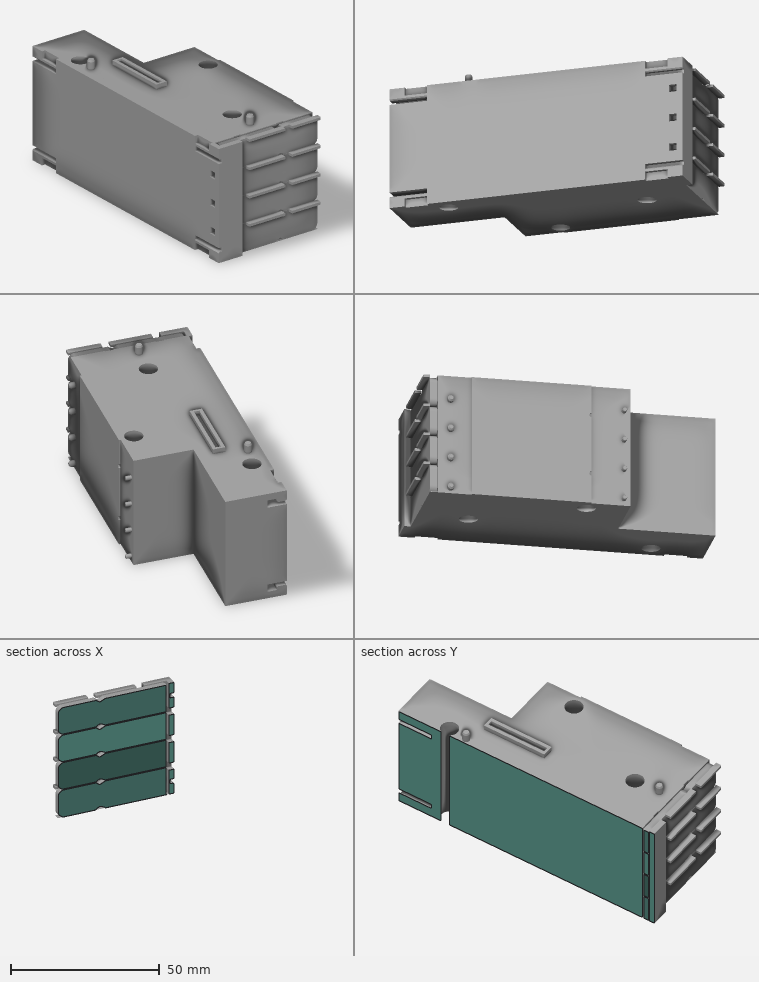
import cadquery as cq
length = 104.3
depth = 43.1
height = 42.1
step_length = 33.4
step_depth = 21.8
plate_start = 46.8
plate_end = 87.8
plate_thickness = 0.6
notch_diameter = 1.6

mounting_hole_diameter = 6.5
mounting_hole_centres = [(19.0, 5.9), (47.6, 38.2), (84.5, 20.5)]

top_pin_diameter = 2.6
top_pin_tip_diameter = 2.0
top_pin_length = 3.5
top_pin_tip_length = 0.6
top_pin_centres = [(26.5, 4.8), (94.4, 20.5)]
connector_start = (28.7, 12.1)
connector_length = 24.6
connector_width = 4.4
connector_height = 1.9
connector_slot_length = 22.7
connector_slot_width = 1.9
connector_slot_depth = connector_height

channel_count = 4
channel_pitch = height / channel_count

back_pin_length = 2.1
small_pin_x = 35.7
small_pin_rise = 2.4
small_pin_diameter = 1.6
small_pin_tip_diameter = 1.3
small_pin_tip_length = 0.3
large_pin_x = 95.1
large_pin_rise = 2.1
large_pin_diameter = 2.3
large_pin_tip_diameter = 1.3
large_pin_tip_length = 0.6

clip_length = 13.4
groove_bottom = 4.1
groove_top = 5.5
groove_lip_depth = 3.4
groove_depth = 6.9
shallow_groove_depth = 1.6
groove_undercut = 2.6
lip_chamfer = 0.4
pocket_length = 7.9
pocket_depth = 1.4
pocket_height = 2.8

bay_start = 99.4
bay_width = 2.7
bay_front = 2.0
bay_floor = 0.2
wall_start = bay_start + bay_width
wall_end = 10.0
window_height = 2.5
bay_notch_depth = 0.3
bay_notch_width = 2.9
bay_notch_fronts = [wall_end, 28.0]

cover_side_clearance = 0.2
cover_top_recess = 0.4
cover_gap = 0.2
cover_pitch = (height - cover_top_recess - bay_floor + cover_gap) / channel_count
cover_height = cover_pitch - cover_gap
cover_thickness = bay_width - cover_side_clearance
cover_front = 2.7
cover_front_fillet = 1.1
cover_corner_radius = 2.2
valley_start = 25.6
valley_floor_start = 26.9
valley_floor_end = 28.1
valley_end = 29.0
valley_depth = 0.6
valley_floor_sag = 0.2

tab_height = 0.9
tab_corner_chamfer = 0.3
tab_spans = [
    (wall_end + bay_notch_width, bay_notch_fronts[1]),
    (bay_notch_fronts[1] + bay_notch_width, depth),
]


def box(x, y, z, size_x, size_y, size_z):
    """Box from its lowest corner and its sizes."""
    return cq.Workplane("XY").box(size_x, size_y, size_z, centered=False).translate((x, y, z))


def tapered_pin(plane, diameter, full_length, tip_diameter, tip_length):
    """Pin growing along the plane's normal, its end tapered down to the tip diameter."""
    pin = cq.Workplane(plane).circle(diameter / 2).extrude(full_length)
    setback = (diameter - tip_diameter) / 2
    return pin.faces(cq.selectors.DirectionMinMaxSelector(plane.zDir, True)).chamfer(tip_length, setback)


def make_block():
    outline = [
        (0, 0),
        (length, 0),
        (length, depth),
        (step_length, depth),
        (step_length, step_depth),
        (0, step_depth),
    ]
    block = cq.Workplane("XY").polyline(outline).close().extrude(height)
    holes = (
        cq.Workplane("XY")
        .pushPoints(mounting_hole_centres)
        .circle(mounting_hole_diameter / 2)
        .extrude(height)
    )
    return block.cut(holes)


def make_plate():
    plate = box(plate_start, depth, 0, plate_end - plate_start, plate_thickness, height)
    notch_heights = [height / 4, 3 * height / 4]
    notches = (
        cq.Workplane("XZ", origin=(0, depth + plate_thickness, 0))
        .pushPoints([(plate_start, notch_height) for notch_height in notch_heights])
        .circle(notch_diameter / 2)
        .extrude(plate_thickness)
    )
    return plate.cut(notches)


def make_connector():
    x, y = connector_start
    connector = box(x, y, height, connector_length, connector_width, connector_height)
    return (
        connector.faces(">Z")
        .workplane(centerOption="CenterOfBoundBox")
        .rect(connector_slot_length, connector_slot_width)
        .cutBlind(-connector_slot_depth)
    )


def make_top_pin(x, y):
    plane = cq.Plane(origin=(x, y, height), xDir=(1, 0, 0), normal=(0, 0, 1))
    return tapered_pin(plane, top_pin_diameter, top_pin_length, top_pin_tip_diameter, top_pin_tip_length)


def make_back_pins(channel):
    channel_bottom = channel * channel_pitch
    small_plane = cq.Plane((small_pin_x, depth, channel_bottom + small_pin_rise), (1, 0, 0), (0, 1, 0))
    large_plane = cq.Plane((large_pin_x, depth, channel_bottom + large_pin_rise), (1, 0, 0), (0, 1, 0))
    small_pin = tapered_pin(
        small_plane, small_pin_diameter, back_pin_length, small_pin_tip_diameter, small_pin_tip_length
    )
    large_pin = tapered_pin(
        large_plane, large_pin_diameter, back_pin_length, large_pin_tip_diameter, large_pin_tip_length
    )
    return small_pin, large_pin


def make_deep_groove():
    """Undercut groove over a lip with both edges chamfered, at the lower corner by X = 0."""
    profile = [
        (0, groove_bottom - lip_chamfer),
        (lip_chamfer, groove_bottom),
        (groove_lip_depth - lip_chamfer, groove_bottom),
        (groove_lip_depth, groove_bottom - lip_chamfer),
        (groove_lip_depth, groove_undercut),
        (groove_depth, groove_undercut),
        (groove_depth, groove_top),
        (0, groove_top),
    ]
    return cq.Workplane("YZ").polyline(profile).close().extrude(clip_length)


def make_shallow_groove():
    """Plain groove over a chamfered lip, at the lower corner by the +X side."""
    profile = [
        (0, groove_bottom - lip_chamfer),
        (lip_chamfer, groove_bottom),
        (shallow_groove_depth, groove_bottom),
        (shallow_groove_depth, groove_top),
        (0, groove_top),
    ]
    start = length - clip_length
    return cq.Workplane("YZ", origin=(start, 0, 0)).polyline(profile).close().extrude(clip_length)


def make_clip_recesses():
    """The two lower corner recesses, each a groove with a pocket below it."""
    left_pocket = box(clip_length - pocket_length, 0, 0, pocket_length, pocket_depth, pocket_height)
    right_pocket = left_pocket.mirror("YZ", (length / 2, 0, 0))
    return [make_deep_groove(), left_pocket, make_shallow_groove(), right_pocket]


def cut_clip_recesses(body):
    for recess in make_clip_recesses():
        body = body.cut(recess).cut(recess.mirror("XY", (0, 0, height / 2)))
    return body


def cut_cover_bay(body):
    body = body.cut(box(bay_start, bay_front, bay_floor, bay_width, depth - bay_front, height))
    body = body.cut(box(wall_start, wall_end, 0, length - wall_start, depth - wall_end, height))
    for front in bay_notch_fronts:
        notch_start = bay_start - bay_notch_depth
        body = body.cut(box(notch_start, front, bay_floor, bay_notch_depth, bay_notch_width, height))
    for boundary in range(1, channel_count):
        window_middle = bay_floor + boundary * cover_pitch - cover_gap / 2
        window_bottom = window_middle - window_height / 2
        body = body.cut(box(bay_start, 0, window_bottom, bay_width, bay_front, window_height))
    return body


def make_housing():
    body = cut_cover_bay(cut_clip_recesses(make_block()))
    body = body.union(make_plate()).union(make_connector())
    for x, y in top_pin_centres:
        body = body.union(make_top_pin(x, y))
    for channel in range(channel_count):
        for pin in make_back_pins(channel):
            body = body.union(pin)
    return body


def make_valley():
    """Cutter for the valley across the top edge of a cover whose bottom is at Z = 0."""
    floor = cover_height - valley_depth
    floor_middle = (valley_floor_start + valley_floor_end) / 2
    return (
        cq.Workplane("YZ", origin=(bay_start, 0, 0))
        .moveTo(valley_start, cover_height)
        .lineTo(valley_floor_start, floor)
        .threePointArc((floor_middle, floor - valley_floor_sag), (valley_floor_end, floor))
        .lineTo(valley_end, cover_height)
        .close()
        .extrude(bay_width)
    )


def make_cover(channel):
    """Upright plate with a round front end, round back corners, edge valleys and two tabs."""
    plate = box(
        bay_start + cover_side_clearance,
        cover_front,
        0,
        cover_thickness,
        depth - cover_front,
        cover_height,
    )
    plate = plate.edges("|Z and <Y").fillet(cover_front_fillet)
    plate = plate.edges("|X and >Y").fillet(cover_corner_radius)
    valley = make_valley()
    cover = plate.cut(valley).cut(valley.mirror("XY", (0, 0, cover_height / 2)))
    for tab_start, tab_end in tab_spans:
        tab = box(
            wall_start,
            tab_start,
            cover_height + cover_top_recess - tab_height,
            length - wall_start,
            tab_end - tab_start,
            tab_height,
        )
        if tab_end == depth:
            tab = tab.edges("|Z and >X and >Y").chamfer(tab_corner_chamfer)
        cover = cover.union(tab)
    return cover.translate((0, 0, bay_floor + channel * cover_pitch))


housing = make_housing()
covers = [make_cover(channel) for channel in range(channel_count)]

result = cq.Compound.makeCompound([housing.val(), *[cover.val() for cover in covers]])